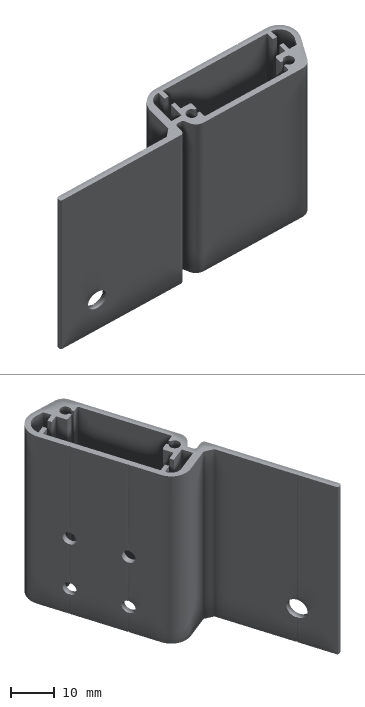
import cadquery as cq
import math

width = 15.0
length = 75.0
height = 50.0

wall = 1.4
box_bottom = 33.3
middle_y = 54.2
corner_radius = 5.0
shoulder_radius = 3.0
slope_angle = math.radians(24.5)
slope_sin = math.sin(slope_angle)
slope_cos = math.cos(slope_angle)

flange_thickness = 1.5
flange_chamfer = 1.9
flange_end_radius = 0.45
shelf_top = 35.25
shelf_radius = 1.0

neck_left = 10.2
neck_right = 11.6
neck_radius = 0.75
lower_shoulder_y = 40.9

main_half_length = 12.0
ledge_inner = 14.9
ledge_outer = 16.05
ledge_gap_left = 3.7
ledge_gap_right = 6.1
block_left = 8.3
block_radius = 0.5
inner_corner_radius = 0.3
port_x = 11.1
port_offset = 13.9
port_radius = 1.39
port_slot = 1.2

side_hole_spacing = 15.0
side_hole_diameter = 3.5
side_hole_low_z = 7.5
flange_hole_y = 10.5
flange_hole_z = 10.0
flange_hole_diameter = 5.3
groove_width = 0.45
groove_depth = 0.15


def on_circle(center, radius, angle):
    """Point on a circle, with the angle in radians from +X."""
    return (center[0] + radius * math.cos(angle), center[1] + radius * math.sin(angle))


def box(x0, x1, y0, y1):
    """Full-height block between two X and two Y limits."""
    return cq.Workplane("XY").box(x1 - x0, y1 - y0, height, centered=False).translate((x0, y0, 0))


top_center = (corner_radius, length - corner_radius)
bottom_center = (corner_radius, box_bottom + corner_radius)
shoulder_x = width - shoulder_radius
slope_drop = ((shoulder_x - corner_radius) * slope_sin + shoulder_radius - corner_radius) / slope_cos
upper_shoulder = (shoulder_x, top_center[1] - slope_drop)
lower_shoulder = (shoulder_x, lower_shoulder_y)
slope_normal = math.pi / 2 - slope_angle


def make_body():
    """Solid outline of the box, the neck and the flange."""
    flange_left = width - flange_thickness
    under_slope = on_circle(lower_shoulder, shoulder_radius, -slope_normal)
    neck_x = neck_right + neck_radius
    neck_y = (
        lower_shoulder_y
        - (shoulder_radius + neck_radius + (shoulder_x - neck_x) * slope_sin) / slope_cos
    )
    neck_center = (neck_x, neck_y)
    neck_start = on_circle(neck_center, neck_radius, math.pi - slope_normal)
    neck_middle = on_circle(neck_center, neck_radius, math.pi - slope_normal / 2)
    fillet_center = (neck_x, shelf_top + neck_radius)
    shelf_center = (width - shelf_radius, shelf_top - shelf_radius)
    outline = (
        cq.Workplane("XY")
        .moveTo(0, bottom_center[1])
        .lineTo(0, top_center[1])
        .threePointArc(
            on_circle(top_center, corner_radius, math.radians(135)),
            on_circle(top_center, corner_radius, slope_normal),
        )
        .lineTo(*on_circle(upper_shoulder, shoulder_radius, slope_normal))
        .threePointArc(
            on_circle(upper_shoulder, shoulder_radius, slope_normal / 2),
            (width, upper_shoulder[1]),
        )
        .lineTo(width, lower_shoulder_y)
        .threePointArc(on_circle(lower_shoulder, shoulder_radius, -slope_normal / 2), under_slope)
        .lineTo(*neck_start)
        .threePointArc(neck_middle, (neck_right, neck_y))
        .lineTo(neck_right, fillet_center[1])
        .threePointArc(
            on_circle(fillet_center, neck_radius, math.radians(225)),
            (fillet_center[0], shelf_top),
        )
        .lineTo(shelf_center[0], shelf_top)
        .threePointArc(
            on_circle(shelf_center, shelf_radius, math.radians(45)),
            (width, shelf_center[1]),
        )
        .lineTo(width, 0)
        .lineTo(flange_left, 0)
        .lineTo(flange_left, box_bottom - flange_chamfer)
        .lineTo(flange_left - flange_chamfer, box_bottom)
        .lineTo(bottom_center[0], box_bottom)
        .threePointArc(
            on_circle(bottom_center, corner_radius, math.radians(225)),
            (0, bottom_center[1]),
        )
        .close()
    )
    return outline.extrude(height).edges("|Z and <Y").fillet(flange_end_radius)


def make_main_cavity():
    """Long cavity, with the screw-port blocks left standing at both ends."""
    ledge_low = middle_y - ledge_inner
    ledge_high = middle_y + ledge_inner
    cavity = box(wall, block_left, ledge_low, ledge_high)
    low = middle_y - main_half_length
    high = middle_y + main_half_length
    right_side = box(wall, width - wall, low, high).edges("|Z and >X").fillet(inner_corner_radius)
    cavity = cavity.union(right_side)
    block_corners = cq.selectors.BoxSelector(
        (block_left - block_radius, low - block_radius, -0.75),
        (block_left + block_radius, high + block_radius, height + 0.75),
    )
    return cavity.edges("|Z").edges(block_corners).fillet(block_radius)


def make_upper_cavity():
    """Pocket under the rounded top corner, following the outer wall."""
    inner_radius = corner_radius - wall
    start_y = middle_y + ledge_outer
    rise = start_y - top_center[1]
    start_x = top_center[0] - math.sqrt(inner_radius**2 - rise**2)
    slope_start = on_circle(top_center, inner_radius, slope_normal)
    slope_end_y = slope_start[1] - (block_left - slope_start[0]) * math.tan(slope_angle)
    return (
        cq.Workplane("XY")
        .moveTo(start_x, start_y)
        .threePointArc(on_circle(top_center, inner_radius, math.radians(135)), slope_start)
        .lineTo(block_left, slope_end_y)
        .lineTo(block_left, start_y)
        .close()
        .extrude(height)
    )


def make_lower_cavity():
    """Pocket between the lower ledges and the floor of the box."""
    top = middle_y - ledge_outer
    pocket = box(wall, neck_left, shelf_top, top)
    return pocket.edges("|Z and <X and <Y").fillet(top - shelf_top - inner_corner_radius)


def make_screw_port(side):
    """Round screw port with a slot into the main cavity; side is +1 or -1."""
    port_y = middle_y + side * port_offset
    mouth_y = middle_y + side * main_half_length
    port = cq.Workplane("XY").center(port_x, port_y).circle(port_radius).extrude(height)
    slot = box(
        port_x - port_slot / 2, port_x + port_slot / 2, min(port_y, mouth_y), max(port_y, mouth_y)
    )
    return port.union(slot)


def make_side_hole(x, y, z, diameter, depth):
    """Hole running in +X from the given point."""
    return cq.Workplane("YZ", origin=(x, y, z)).circle(diameter / 2).extrude(depth)


def make_groove(x, y):
    """Shallow V groove along Z in a face looking toward -X."""
    points = [(x, y - groove_width / 2), (x + groove_depth, y), (x, y + groove_width / 2)]
    return cq.Workplane("XY").polyline(points).close().extrude(height)


result = make_body()
result = result.cut(make_main_cavity()).cut(make_upper_cavity()).cut(make_lower_cavity())

for side in (-1, 1):
    result = result.cut(make_screw_port(side))
    ledge_start = middle_y + side * ledge_inner
    ledge_end = middle_y + side * ledge_outer
    result = result.cut(
        box(ledge_gap_left, ledge_gap_right, min(ledge_start, ledge_end), max(ledge_start, ledge_end))
    )

    hole_y = middle_y + side * side_hole_spacing / 2
    result = result.cut(make_groove(0, hole_y))
    for hole_z in (side_hole_low_z, side_hole_low_z + side_hole_spacing):
        result = result.cut(make_side_hole(0, hole_y, hole_z, side_hole_diameter, wall))

flange_face = width - flange_thickness
result = result.cut(make_groove(flange_face, flange_hole_y))
result = result.cut(
    make_side_hole(flange_face, flange_hole_y, flange_hole_z, flange_hole_diameter, flange_thickness)
)